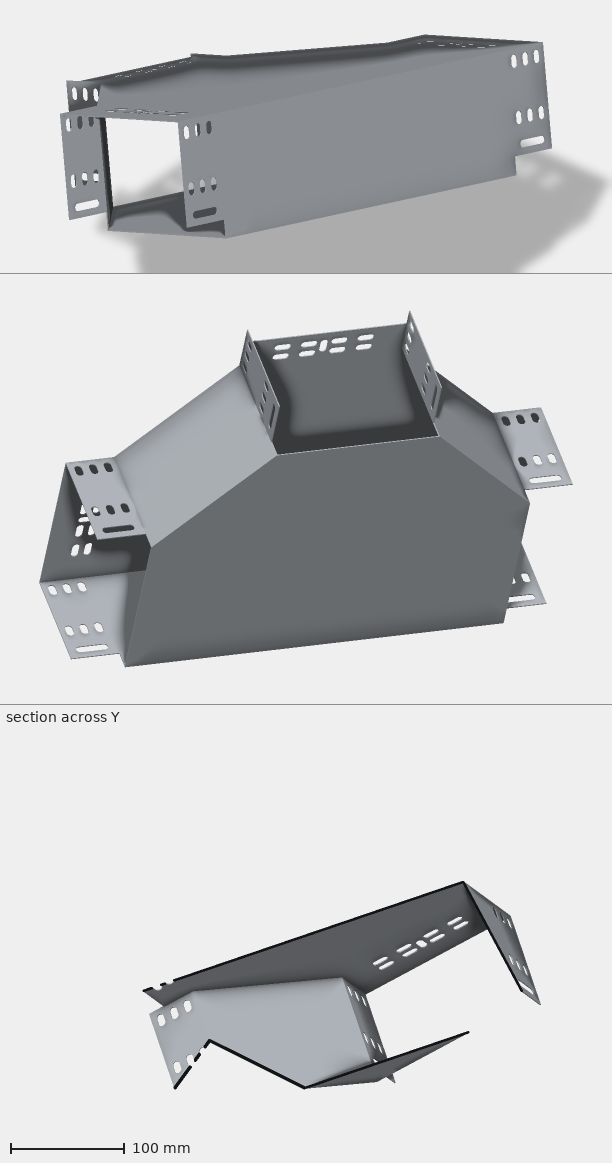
import cadquery as cq
import math


SHEET = 1.0
RUN_LENGTH = 442.5
CHANNEL_WIDTH = 152.0
STUB_LENGTH = 45.0
TAB_DEPTH = 94.5
TOTAL_DEPTH = 111.5
LIP_TOP_DEPTH = 88.5
BRANCH_PLATE_SETBACK = 15.5

SLOT_WIDTH = 7.0
PLATE_SLOT_LENGTH = 15.0
PLATE_ROW_NEAR = 27.5
PLATE_ROW_FAR = 39.0
PLATE_CROSS_SLOT = 31.5
PLATE_SLOT_INNER = 14.0
PLATE_SLOT_OUTER = 38.5
WALL_SLOT_LENGTH = 12.0
WALL_SLOT_PITCH = 13.5
WALL_ROW_DEPTHS = (11.5, 61.5)
LONG_SLOT_LENGTH = 29.5
LONG_SLOT_DEPTH = 85.0

TILT_X = -28.74
TILT_Y = 19.41
TILT_Z = 61.28

RUN_END = RUN_LENGTH / 2
RUN_STUB = RUN_END - STUB_LENGTH
BRANCH_SIDE = CHANNEL_WIDTH / 2
BRANCH_STUB = CHANNEL_WIDTH + RUN_STUB - BRANCH_SIDE
BRANCH_END = BRANCH_STUB + STUB_LENGTH
PLATE_END = BRANCH_END - BRANCH_PLATE_SETBACK
COVER_TOP_DEPTH = TOTAL_DEPTH - SHEET
LIP_HEIGHT = COVER_TOP_DEPTH - LIP_TOP_DEPTH
MITRE = SHEET * math.tan(math.radians(22.5))
STUB_MIDDLE = STUB_LENGTH / 2


def box(x_range, y_range, z_range):
    """Box between two limits on each axis."""
    (x0, x1), (y0, y1), (z0, z1) = x_range, y_range, z_range
    return cq.Workplane("XY").box(x1 - x0, y1 - y0, z1 - z0, centered=False).translate((x0, y0, z0))


def mirrored(points):
    """The points followed by their mirror images in X, in reverse order."""
    return points + [(-x, y) for x, y in reversed(points)]


def flat_sheet(points, bottom):
    """Sheet with the given outline, standing on height `bottom`."""
    return cq.Workplane("XY", origin=(0, 0, bottom)).polyline(points).close().extrude(SHEET)


def run_lip():
    """Rectangular lip along the back of the run."""
    return box((-RUN_STUB, RUN_STUB), (0, SHEET), (-COVER_TOP_DEPTH, -LIP_TOP_DEPTH))


def diagonal_lip(side):
    """Lip on the diagonal at side +1 or -1, its ends mitred at 45 degrees."""
    length = math.sqrt(2) * (RUN_STUB - BRANCH_SIDE)
    middle = (side * (RUN_STUB + BRANCH_SIDE) / 2, (CHANNEL_WIDTH + BRANCH_STUB) / 2, -COVER_TOP_DEPTH)
    plane = cq.Plane(origin=middle, xDir=(-1, side, 0), normal=(side, 1, 0))
    half = length / 2
    outline = [(-half, 0), (half, 0), (half - LIP_HEIGHT, LIP_HEIGHT), (LIP_HEIGHT - half, LIP_HEIGHT)]
    return cq.Workplane(plane).polyline(outline).close().extrude(-SHEET)


def make_cover():
    outline = mirrored([
        (RUN_STUB, 0),
        (RUN_STUB, CHANNEL_WIDTH),
        (BRANCH_SIDE, BRANCH_STUB),
    ])
    cover = flat_sheet(outline, -TOTAL_DEPTH).union(run_lip())
    for side in (1, -1):
        cover = cover.union(diagonal_lip(side))
    return cover


def tray_plate():
    return flat_sheet(mirrored([
        (RUN_END, 0),
        (RUN_END, CHANNEL_WIDTH),
        (RUN_STUB, CHANNEL_WIDTH),
        (BRANCH_SIDE, BRANCH_STUB),
        (BRANCH_SIDE, PLATE_END),
    ]), -SHEET)


def back_wall():
    """Straight wall of the run, cut back between the coupling ends for the cover lip."""
    wall = box((-RUN_END, RUN_END), (0, SHEET), (-TAB_DEPTH, 0))
    return wall.cut(run_lip())


def side_wall(side):
    """Bent wall from run to branch; its diagonal reaches the cover around the lip."""
    outline = [
        (RUN_END, CHANNEL_WIDTH),
        (RUN_STUB, CHANNEL_WIDTH),
        (BRANCH_SIDE, BRANCH_STUB),
        (BRANCH_SIDE, BRANCH_END),
        (BRANCH_SIDE - SHEET, BRANCH_END),
        (BRANCH_SIDE - SHEET, BRANCH_STUB - MITRE),
        (RUN_STUB - MITRE, CHANNEL_WIDTH - SHEET),
        (RUN_END, CHANNEL_WIDTH - SHEET),
    ]
    outline = [(side * x, y) for x, y in outline]
    wall = cq.Workplane("XY").polyline(outline).close().extrude(-COVER_TOP_DEPTH)
    below_tabs = (-TOTAL_DEPTH, -TAB_DEPTH)
    run_x = sorted((side * RUN_STUB, side * RUN_END))
    wall = wall.cut(box(run_x, (0, CHANNEL_WIDTH), below_tabs))
    wall = wall.cut(box((-BRANCH_SIDE, BRANCH_SIDE), (BRANCH_STUB, BRANCH_END), below_tabs))
    return wall.cut(diagonal_lip(side))


def slot_cutters(plane, points, length, angle, reach):
    """Slot cutters at points of a plane, reaching `reach` to both sides of it."""
    return cq.Workplane(plane).pushPoints(points).slot2D(length, SLOT_WIDTH, angle).extrude(reach, both=True)


def coupling_slots():
    """Cutters for a channel end at the origin whose channel runs towards -X."""
    plate_points = [
        (-row, offset)
        for row in (PLATE_ROW_NEAR, PLATE_ROW_FAR)
        for offset in (-PLATE_SLOT_OUTER, -PLATE_SLOT_INNER, PLATE_SLOT_INNER, PLATE_SLOT_OUTER)
    ]
    wall_points = [
        (-STUB_MIDDLE + step * WALL_SLOT_PITCH, -depth)
        for step in (-1, 0, 1)
        for depth in WALL_ROW_DEPTHS
    ]
    long_point = (-STUB_MIDDLE, -LONG_SLOT_DEPTH)
    return [
        slot_cutters("XY", plate_points, PLATE_SLOT_LENGTH, 90, SHEET),
        slot_cutters("XY", [(-PLATE_CROSS_SLOT, 0)], PLATE_SLOT_LENGTH, 0, SHEET),
        slot_cutters("XZ", wall_points, WALL_SLOT_LENGTH, 90, BRANCH_SIDE),
        slot_cutters("XZ", [long_point], LONG_SLOT_LENGTH, 0, BRANCH_SIDE),
    ]


def make_tray():
    tray = tray_plate().union(back_wall())
    for side in (1, -1):
        tray = tray.union(side_wall(side))
    run_middle = CHANNEL_WIDTH / 2
    channel_ends = [
        (0, (RUN_END, run_middle, 0)),
        (90, (0, BRANCH_END, 0)),
        (180, (-RUN_END, run_middle, 0)),
    ]
    for turn, place in channel_ends:
        for cutter in coupling_slots():
            tray = tray.cut(cutter.rotate((0, 0, 0), (0, 0, 1), turn).translate(place))
    return tray


def tilted(body):
    """Turn a body about the origin into the attitude of the assembly."""
    turned = body.rotate((0, 0, 0), (1, 0, 0), TILT_X)
    turned = turned.rotate((0, 0, 0), (0, 1, 0), TILT_Y)
    return turned.rotate((0, 0, 0), (0, 0, 1), TILT_Z)


tray = tilted(make_tray())
cover = tilted(make_cover())
result = cq.Compound.makeCompound([*tray.solids().vals(), *cover.solids().vals()])